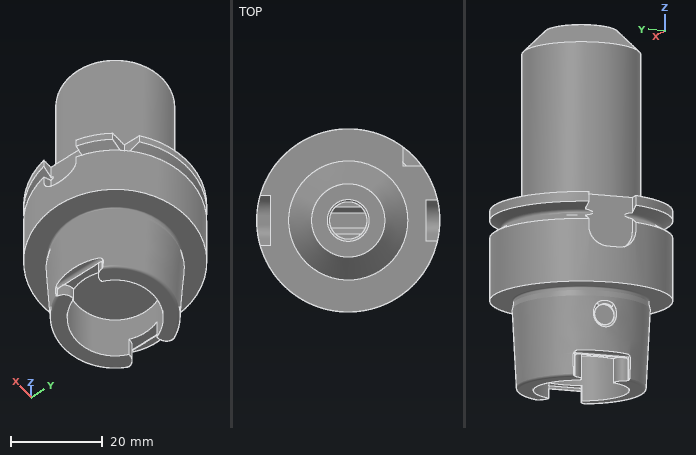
import cadquery as cq
import math


shank_top = 60.0
shank_radius = 13.0
nose_radius = 8.0
nose_height = 5.0
bore_radius = 4.1
bore_mouth_radius = 4.6
bore_depth = 32.0
bore_groove_floor_width = 3.4
bore_groove_top_width = 5.8
bore_groove_depth = 1.2

flange_radius = 20.0
flange_height = 20.0
groove_center_z = 15.9
groove_half_width = 1.9
groove_floor_fillet = 0.7
groove_flank_angle = math.radians(30)

left_slot_width = 11.0
left_slot_corner = 4.3
right_slot_width = 9.0
slot_floor_x = 17.0
slot_bottom_z = 8.0
notch_offset = 11.9
notch_bottom_z = groove_center_z

taper_length = 20.0
neck_radius = 14.8
neck_length = 0.9
neck_root_fillet = 0.3
taper_start_z = -2.2
taper_radius = 15.08
taper_slope = 0.05
taper_end_round = 0.6
cavity_radius = 10.5
cavity_depth = 12.8

drive_recess_width = 13.8
drive_recess_corner = 1.3
drive_recess_floor_x = 12.5
drive_recess_roof_fillet = 0.7
drive_slot_width = 7.8
drive_slot_edge_radius = 2.4
left_drive_slot_drop = 0.5
left_drive_z = -14.2
right_drive_z = -16.6

side_hole_z = -6.0
side_hole_radius = 2.28
side_hole_mouth_radius = 3.0
side_hole_floor_x = 14.1
side_hole_sink = 0.6


def block(x_range, y_range, z_range):
    """Axis-aligned box between the given limits."""
    (x0, x1), (y0, y1), (z0, z1) = x_range, y_range, z_range
    return cq.Workplane("XY").box(x1 - x0, y1 - y0, z1 - z0, centered=False).translate((x0, y0, z0))


def make_body():
    """Outer shape turned about Z."""
    flank_slope = math.tan(groove_flank_angle)
    arc_half_width = groove_floor_fillet * math.cos(groove_flank_angle)
    arc_end_radius = flange_radius - (groove_half_width - arc_half_width) / flank_slope
    groove_floor_radius = arc_end_radius - groove_floor_fillet * (1 - math.sin(groove_flank_angle))
    taper_end_radius = taper_radius - taper_slope * (taper_length + taper_start_z)
    return (
        cq.Workplane("XZ")
        .moveTo(0, -taper_length)
        .lineTo(taper_end_radius - taper_end_round, -taper_length)
        .radiusArc((taper_end_radius, taper_end_round - taper_length), -taper_end_round)
        .lineTo(taper_radius, taper_start_z)
        .lineTo(neck_radius, -neck_length)
        .lineTo(neck_radius, -neck_root_fillet)
        .radiusArc((neck_radius + neck_root_fillet, 0), neck_root_fillet)
        .lineTo(flange_radius, 0)
        .lineTo(flange_radius, groove_center_z - groove_half_width)
        .lineTo(arc_end_radius, groove_center_z - arc_half_width)
        .threePointArc(
            (groove_floor_radius, groove_center_z),
            (arc_end_radius, groove_center_z + arc_half_width),
        )
        .lineTo(flange_radius, groove_center_z + groove_half_width)
        .lineTo(flange_radius, flange_height)
        .lineTo(shank_radius, flange_height)
        .lineTo(shank_radius, shank_top - nose_height)
        .lineTo(nose_radius, shank_top)
        .lineTo(0, shank_top)
        .close()
        .revolve(360, (0, 0, 0), (0, 1, 0))
    )


def make_bore():
    """Blind tool bore with a chamfered mouth and a flared groove along X in its floor."""
    floor_z = shank_top - bore_depth
    chamfer = bore_mouth_radius - bore_radius
    bore = cq.Workplane("XY", origin=(0, 0, floor_z)).circle(bore_radius).extrude(bore_depth)
    mouth = cq.Solid.makeCone(
        bore_radius, bore_mouth_radius, chamfer, pnt=cq.Vector(0, 0, shank_top - chamfer)
    )
    half_floor = bore_groove_floor_width / 2
    half_top = bore_groove_top_width / 2
    groove = (
        cq.Workplane("YZ")
        .polyline([
            (-half_floor, floor_z - bore_groove_depth),
            (half_floor, floor_z - bore_groove_depth),
            (half_top, floor_z),
            (-half_top, floor_z),
        ])
        .close()
        .extrude(bore_radius, both=True)
    )
    groove_limit = (
        cq.Workplane("XY", origin=(0, 0, floor_z - bore_groove_depth))
        .circle(bore_radius)
        .extrude(bore_groove_depth)
    )
    return bore.union(mouth).union(groove.intersect(groove_limit))


def make_round_corner_slot():
    """Slot on the -X side with rounded lower corners."""
    slot = block(
        (-flange_radius, -slot_floor_x),
        (-left_slot_width / 2, left_slot_width / 2),
        (slot_bottom_z, flange_height),
    )
    return slot.edges("|X and <Z").fillet(left_slot_corner)


def make_round_end_slot():
    """Slot on the +X side with a semicircular lower end."""
    radius = right_slot_width / 2
    return (
        cq.Workplane("YZ", origin=(slot_floor_x, 0, 0))
        .moveTo(-radius, flange_height)
        .lineTo(-radius, slot_bottom_z + radius)
        .threePointArc((0, slot_bottom_z), (radius, slot_bottom_z + radius))
        .lineTo(radius, flange_height)
        .close()
        .extrude(flange_radius - slot_floor_x)
    )


def make_corner_notch():
    """Square notch through the upper rim of the flange, opening into the V groove."""
    limits = (notch_offset, flange_radius)
    return block(limits, limits, (notch_bottom_z, flange_height))


def make_drive_slot(side, top_z, slot_drop):
    """Shallow recess plus a narrower slot into the cavity, with rounded edges between them."""
    half_recess = drive_recess_width / 2
    half_slot = drive_slot_width / 2
    edge = drive_slot_edge_radius
    recess = block(
        sorted((side * drive_recess_floor_x, side * flange_radius)),
        (-half_recess, half_recess),
        (-taper_length, top_z),
    )
    floor_face = "<X" if side > 0 else ">X"
    recess = recess.edges("|X and >Z").fillet(drive_recess_corner)
    recess = recess.faces(floor_face).edges(">Z").fillet(drive_recess_roof_fillet)
    throat_x = drive_recess_floor_x - edge
    slot = (
        cq.Workplane("XY", origin=(0, 0, -taper_length))
        .moveTo(0, -half_slot)
        .lineTo(side * throat_x, -half_slot)
        .radiusArc((side * drive_recess_floor_x, -half_slot - edge), side * edge)
        .lineTo(side * drive_recess_floor_x, half_slot + edge)
        .radiusArc((side * throat_x, half_slot), side * edge)
        .lineTo(0, half_slot)
        .close()
        .extrude(taper_length + top_z - slot_drop)
    )
    return recess.union(slot)


def make_side_hole():
    """Flat-bottomed hole entering the taper from -X with a countersunk mouth."""
    wall_x = taper_radius + taper_slope * (side_hole_z - taper_start_z)
    inward = cq.Vector(1, 0, 0)
    hole = cq.Solid.makeCylinder(
        side_hole_radius,
        taper_radius - side_hole_floor_x,
        pnt=cq.Vector(-taper_radius, 0, side_hole_z),
        dir=inward,
    )
    sink = cq.Solid.makeCone(
        side_hole_mouth_radius,
        side_hole_radius,
        side_hole_sink,
        pnt=cq.Vector(-wall_x, 0, side_hole_z),
        dir=inward,
    )
    return cq.Workplane(hole).union(sink)


cavity = (
    cq.Workplane("XY", origin=(0, 0, -taper_length))
    .circle(cavity_radius)
    .extrude(cavity_depth)
)

result = (
    make_body()
    .cut(make_bore())
    .cut(make_round_corner_slot())
    .cut(make_round_end_slot())
    .cut(make_corner_notch())
    .cut(cavity)
    .cut(make_drive_slot(-1, left_drive_z, left_drive_slot_drop))
    .cut(make_drive_slot(1, right_drive_z, 0))
    .cut(make_side_hole())
)